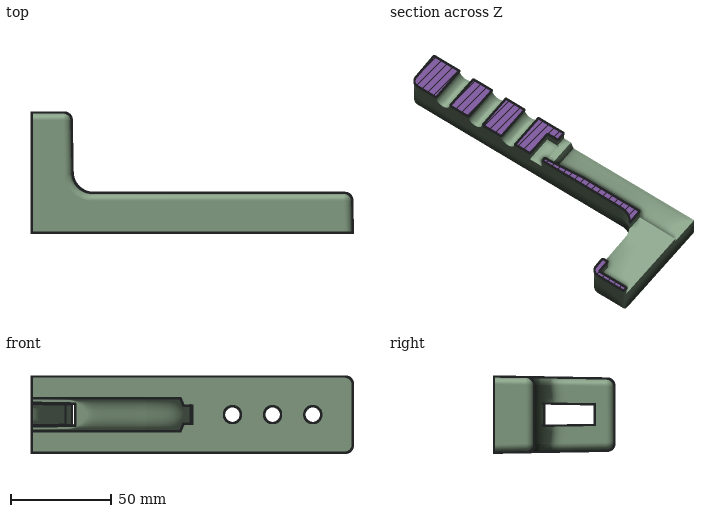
import cadquery as cq
import math

length = 160.0
arm_height = 60.0
width = 38.0
beam_thickness = 20.0
arm_tip_thickness = 20.0
inner_radius = 10.0
edge_radius = 4.0
draft = math.tan(math.radians(1.0))

channel_width = 16.8
channel_depth = 16.0
channel_end = 74.0
neck_start = 75.7
ramp_start = 57.0
latch_floor_depth = 17.6

latch_width = 9.3
latch_mouth_end = 80.0
latch_floor_end = 79.2
latch_lip_thickness = 5.3
latch_window_end = 86.4
latch_window_width = 10.0

arm_slot_width = 12.0
arm_slot_height = 57.3
arm_slot_step_x = 16.8
arm_slot_exit_height = 50.0
arm_slot_end = 21.8

hole_diameter = 8.3
hole_spacing = 20.0
first_hole_x = 100.0
hole_count = 3


def prism_xy(points, depth):
    """Extrude an XY outline symmetrically about Z = 0."""
    return cq.Workplane("XY").polyline(points).close().extrude(depth / 2, both=True)


def drafted_prism_x(start, end, sections):
    """Loft YZ outlines between two X positions."""
    return (
        cq.Workplane("YZ", origin=(start, 0, 0))
        .polyline(sections[0]).close()
        .workplane(offset=end - start)
        .polyline(sections[1]).close()
        .loft(ruled=True)
    )


def make_body():
    foot_x = arm_tip_thickness + draft * (arm_height - beam_thickness)
    profile = prism_xy(
        [
            (0, 0),
            (length, 0),
            (length - draft * beam_thickness, beam_thickness),
            (foot_x, beam_thickness),
            (arm_tip_thickness, arm_height),
            (0, arm_height),
        ],
        width,
    )
    corner = cq.selectors.NearestToPointSelector((foot_x, beam_thickness, 0))
    profile = profile.edges("|Z").edges(corner).fillet(inner_radius)

    base_half = width / 2
    tip_half = base_half - draft * arm_height
    section = [(0, -base_half), (0, base_half), (arm_height, tip_half), (arm_height, -tip_half)]
    body = profile.intersect(drafted_prism_x(0, length, [section, section]))

    sharp_edges = body.faces("<X or <Y").edges().vals()
    rounded_edges = [
        edge
        for edge in body.edges().vals()
        if not any(edge.isSame(sharp) for sharp in sharp_edges)
        and not is_inner_fillet_seam(edge, foot_x)
    ]
    return body.newObject(rounded_edges).fillet(edge_radius)


def is_inner_fillet_seam(edge, foot_x):
    """Find the cross-width lines where the inner fillet meets its flat neighbours."""
    center = edge.Center()
    near_arm = foot_x - edge_radius < center.x < foot_x + 2 * inner_radius
    below_tip = center.y < arm_height - edge_radius
    on_middle = abs(center.z) < edge_radius
    return near_arm and below_tip and on_middle


def channel_outline(depth):
    """Channel and latch neck outline, narrowed by the draft at a given depth."""
    half = channel_width / 2 - draft * depth
    neck_half = latch_width / 2 - draft * depth
    return [
        (0, -half),
        (channel_end, -half),
        (neck_start, -neck_half),
        (latch_mouth_end, -neck_half),
        (latch_mouth_end, neck_half),
        (neck_start, neck_half),
        (channel_end, half),
        (0, half),
    ]


def make_channel():
    drafted_plan = (
        cq.Workplane("XZ")
        .polyline(channel_outline(0)).close()
        .workplane(offset=-latch_floor_depth)
        .polyline(channel_outline(latch_floor_depth)).close()
        .loft(ruled=True)
    )
    depth_profile = prism_xy(
        [
            (0, 0),
            (latch_mouth_end, 0),
            (latch_mouth_end, latch_lip_thickness),
            (latch_floor_end, latch_lip_thickness),
            (latch_floor_end, latch_floor_depth),
            (neck_start, latch_floor_depth),
            (ramp_start, channel_depth),
            (0, channel_depth),
        ],
        channel_width,
    )
    return drafted_plan.intersect(depth_profile)


def make_latch_window():
    return prism_xy(
        [
            (latch_floor_end, latch_lip_thickness),
            (latch_window_end, latch_lip_thickness),
            (latch_window_end, beam_thickness),
            (latch_floor_end, beam_thickness),
        ],
        latch_window_width,
    )


def arm_slot_section(x, top):
    """Slot section narrowing with both height and distance from X = 0."""
    base_half = arm_slot_width / 2 - draft * x
    top_half = base_half - draft * (top - channel_depth)
    return [(channel_depth, -base_half), (channel_depth, base_half), (top, top_half), (top, -top_half)]


def make_arm_slot(end, top):
    sections = [arm_slot_section(x, top) for x in (0, end)]
    return drafted_prism_x(0, end, sections)


def make_hole(x):
    return cq.Workplane("XZ", origin=(x, 0, 0)).circle(hole_diameter / 2).extrude(-beam_thickness)


result = make_body()
result = result.cut(make_channel())
result = result.cut(make_latch_window())
result = result.cut(make_arm_slot(arm_slot_step_x, arm_slot_height))
result = result.cut(make_arm_slot(arm_slot_end, arm_slot_exit_height))
for index in range(hole_count):
    result = result.cut(make_hole(first_hole_x + index * hole_spacing))